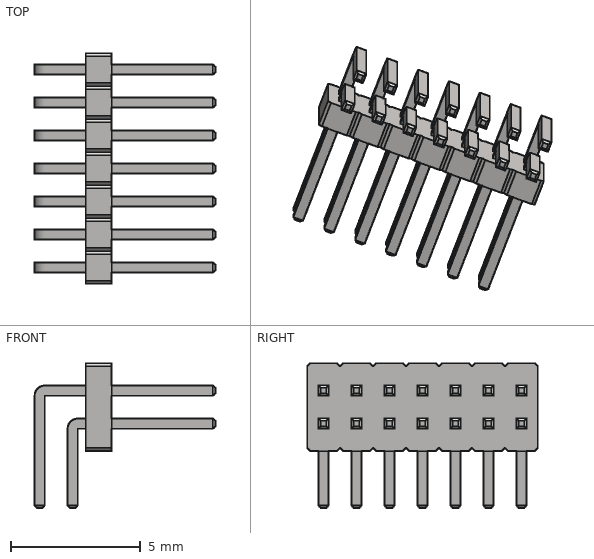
import cadquery as cq

positions = 7
header_length = 8.89
header_depth = 1.0
header_height = 3.4
notch_chamfer = 0.125
pin_width = 0.4
tip_chamfer = 0.1
overall_width = 6.97
overall_height = 5.58
tail_reach = 1.97

pitch = header_length / positions
bend_radius = pin_width
header_top = header_height / 2
tail_end = header_top - overall_height
pin_tip = overall_width - tail_reach


def header_cell(y_center):
    """One block of the header, chamfered along its four X edges."""
    return (
        cq.Workplane("XY")
        .box(header_depth, pitch, header_height)
        .edges("|X")
        .chamfer(notch_chamfer)
        .translate((header_depth / 2, y_center, 0))
    )


def bent_pin(x_tail, z_center, y_center):
    """Right-angle square pin: a tail going down and a straight leg along +X."""
    z_top = z_center + pin_width / 2
    z_under = z_center - pin_width / 2
    pin = (
        cq.Workplane("XZ", origin=(0, y_center, 0))
        .moveTo(x_tail, tail_end)
        .lineTo(x_tail, z_top - bend_radius)
        .radiusArc((x_tail + bend_radius, z_top), bend_radius)
        .lineTo(pin_tip, z_top)
        .lineTo(pin_tip, z_under)
        .lineTo(x_tail + pin_width, z_under)
        .lineTo(x_tail + pin_width, tail_end)
        .close()
        .extrude(pin_width / 2, both=True)
    )
    return pin.faces(">X or <Z").chamfer(tip_chamfer)


def pin_position(index):
    """One header cell with its outer (upper) and inner (lower) pin."""
    y_center = (index - (positions - 1) / 2) * pitch
    outer_pin = bent_pin(-tail_reach, pitch / 2, y_center)
    inner_pin = bent_pin(pitch - tail_reach, -pitch / 2, y_center)
    return header_cell(y_center).union(outer_pin).union(inner_pin)


result = pin_position(0)
for index in range(1, positions):
    result = result.union(pin_position(index))